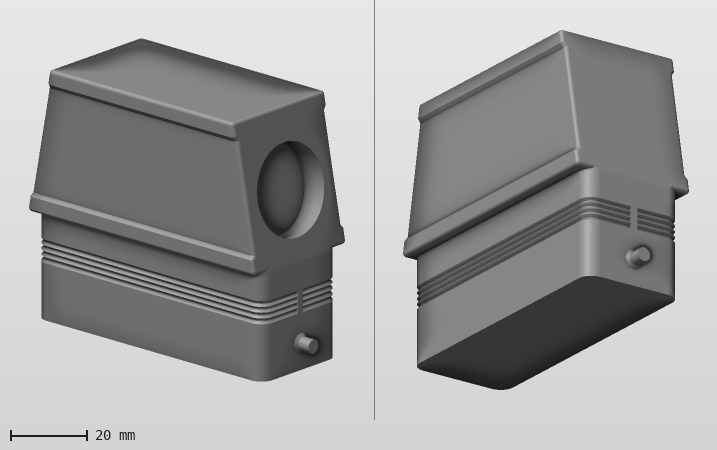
import cadquery as cq
import math

body_length = 79.65
body_width = 29.65
body_corner_radius = 3.9

total_height = 70.5
hood_width = 36.0
hood_base_z = 30.1
hood_top_length = 64.25
hood_edge_radius = 1.0

recess_depth = 0.9
recess_bottom_z = 34.3
recess_bottom_slope_height = 1.0
recess_top_z = 66.55
recess_top_slope_height = 1.2

groove_count = 4
groove_pitch = 1.6
groove_depth = 0.6
groove_floor_height = 0.3
groove_stack_z = 15.75
groove_rib_width = 1.95

pin_tip_span = 88.5
pin_diameter = 3.8
pin_z = 7.4
pin_foot_diameter = 5.5
pin_foot_length = 0.8

entry_diameter = 25.6
entry_center_x = 36.3
entry_depth = 7.1

hood_height = total_height - hood_base_z
end_setback = (body_length - hood_top_length) / 2
end_angle = math.atan2(end_setback, hood_height)


def body_block(height):
    """Block with the rounded plan outline of the body."""
    return (
        cq.Workplane("XY")
        .rect(body_length, body_width)
        .extrude(height)
        .edges("|Z")
        .fillet(body_corner_radius)
    )


def hood_taper():
    """Trapezoidal side outline of the hood, extruded across its width."""
    return (
        cq.Workplane("XZ")
        .moveTo(-body_length / 2, hood_base_z)
        .lineTo(body_length / 2, hood_base_z)
        .lineTo(hood_top_length / 2, total_height)
        .lineTo(-hood_top_length / 2, total_height)
        .close()
        .extrude(hood_width / 2, both=True)
    )


def make_hood():
    """Tapered hood with recessed long sides, rounded along its outer edges."""
    outer_y = hood_width / 2
    recess_y = outer_y - recess_depth
    positive_y_side = [
        (outer_y, hood_base_z),
        (outer_y, recess_bottom_z),
        (recess_y, recess_bottom_z + recess_bottom_slope_height),
        (recess_y, recess_top_z - recess_top_slope_height),
        (outer_y, recess_top_z),
        (outer_y, total_height),
    ]
    negative_y_side = [(-y, z) for y, z in reversed(positive_y_side)]
    end_outline = (
        cq.Workplane("YZ")
        .polyline(positive_y_side + negative_y_side)
        .close()
        .extrude(body_length / 2, both=True)
    )
    hood = hood_taper().intersect(end_outline)
    return hood.faces("<Z or >Z or <X or >X").edges().fillet(hood_edge_radius)


def make_body():
    """Rounded block below the hood, carried up into it flush with the sloping ends."""
    lower_body = body_block(hood_base_z)
    neck = body_block(hood_base_z + 2 * hood_edge_radius).intersect(hood_taper())
    return lower_body.union(neck)


def make_groove(bottom_z):
    """Ring of material for one groove, open at both end ribs."""
    flank_height = (groove_pitch - groove_floor_height) / 2
    flank_angle = math.degrees(math.atan2(groove_depth, flank_height))
    lower_core = (
        body_block(groove_pitch)
        .faces("<Z")
        .wires()
        .toPending()
        .workplane(invert=True)
        .extrude(flank_height, taper=flank_angle, combine=False)
    )
    upper_core = lower_core.mirror("XY", (0, 0, groove_pitch / 2))
    floor_core = lower_core.faces(">Z").wires().toPending().extrude(groove_floor_height, combine=False)
    rib = cq.Workplane("XY").box(body_length, groove_rib_width, 2 * groove_pitch)
    ring = body_block(groove_pitch).cut(lower_core).cut(floor_core).cut(upper_core).cut(rib)
    return ring.translate((0, 0, bottom_z))


def make_pins():
    """Both locking pins with their feet, turned about one axis along X."""
    wall_x = body_length / 2
    pin_radius = pin_diameter / 2
    positive_x_side = [
        (wall_x, pin_foot_diameter / 2),
        (wall_x + pin_foot_length, pin_radius),
        (pin_tip_span / 2, pin_radius),
        (pin_tip_span / 2, 0),
    ]
    negative_x_side = [(-x, radius) for x, radius in reversed(positive_x_side)]
    return (
        cq.Workplane("XY")
        .polyline(negative_x_side + positive_x_side)
        .close()
        .revolve(360, (0, 0, 0), (1, 0, 0))
        .translate((0, 0, pin_z))
    )


def make_entry():
    """Cylinder for the cable entry, running inwards from the +X end."""
    center_z = hood_base_z + (body_length / 2 - entry_center_x) / math.tan(end_angle)
    inward = (-math.cos(end_angle), 0, -math.sin(end_angle))
    end_plane = cq.Plane(origin=(entry_center_x, 0, center_z), xDir=(0, 1, 0), normal=inward)
    return cq.Workplane(end_plane).circle(entry_diameter / 2).extrude(entry_depth)


result = make_body().union(make_hood()).union(make_pins())
for groove_index in range(groove_count):
    result = result.cut(make_groove(groove_stack_z + groove_index * groove_pitch))
result = result.cut(make_entry())